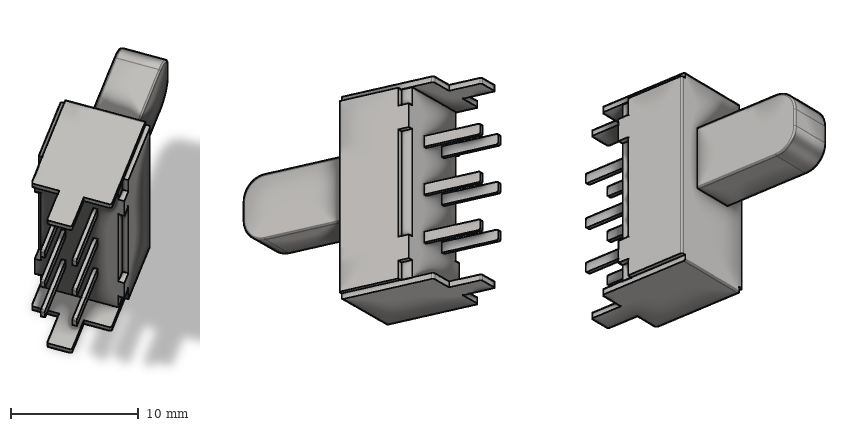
import cadquery as cq

housing_width = 7.4
housing_height = 16.0
housing_depth = 6.49
edge_radius = 0.15

relief_width = 0.5
relief_depth = 1.0
end_relief_height = 1.5
middle_relief_height = 9.0

plate_thickness = 0.5
plate_width = 6.6
plate_depth = 8.5
plate_corner_radius = 0.2
tab_width = 2.05
tab_length = 3.0

knob_width = 3.8
knob_height = 5.5
knob_length = 10.0
knob_center_x = -0.05
knob_center_z = 1.4
knob_corner_radius = 2.0
knob_edge_radius = 0.15

overall_depth = 21.7
pin_end_y = knob_length - overall_depth
pin_width = 0.35
pin_height = 0.9
pin_spacing_x = 2.63
pin_pitch_z = 4.01
pin_tip_radius = 0.15
pin_length = -pin_end_y - housing_depth


def box(width, depth, height, front_y, center_z=0.0):
    """Box centred on X = 0 that runs from front_y toward -Y."""
    return (
        cq.Workplane("XY")
        .box(width, depth, height)
        .translate((0, front_y - depth / 2, center_z))
    )


def make_housing():
    housing = box(housing_width, housing_depth, housing_height, 0)
    housing = housing.faces(">Y").edges("|Z").fillet(edge_radius)

    end_relief_z = (housing_height - end_relief_height) / 2
    reliefs = [
        (end_relief_height, end_relief_z),
        (middle_relief_height, 0),
        (end_relief_height, -end_relief_z),
    ]
    relief_front_y = relief_depth - housing_depth
    relief_x = (housing_width - relief_width) / 2
    for height, center_z in reliefs:
        relief = box(relief_width, relief_depth, height, relief_front_y, center_z)
        for side in (-1, 1):
            housing = housing.cut(relief.translate((side * relief_x, 0, 0)))
    return housing


def make_top_plate():
    plate_z = (housing_height + plate_thickness) / 2
    plate = box(plate_width, plate_depth, plate_thickness, 0, plate_z)
    plate = plate.faces("<Y").edges("|Z").fillet(plate_corner_radius)
    plate = plate.faces(">Y").edges(">Z").fillet(edge_radius)

    tab = box(tab_width, tab_length, plate_thickness, -plate_depth, plate_z)
    tab = tab.faces("<Y").edges("|Z").fillet(edge_radius)
    return plate.union(tab)


def make_knob():
    knob = box(knob_width, knob_length, knob_height, knob_length, knob_center_z)
    knob = knob.faces(">Y").edges("|X").fillet(knob_corner_radius)
    knob = knob.faces("<X or >X").edges("not <Y").fillet(knob_edge_radius)
    return knob.translate((knob_center_x, 0, 0))


def make_pin(x, z):
    pin = box(pin_width, pin_length, pin_height, -housing_depth)
    pin = pin.faces("<Y").edges("|X").fillet(pin_tip_radius)
    return pin.translate((x, 0, z))


top_plate = make_top_plate()
bottom_plate = top_plate.mirror("XY")
result = make_housing().union(top_plate).union(bottom_plate).union(make_knob())
for column in (-0.5, 0.5):
    for row in (-1, 0, 1):
        result = result.union(make_pin(column * pin_spacing_x, row * pin_pitch_z))